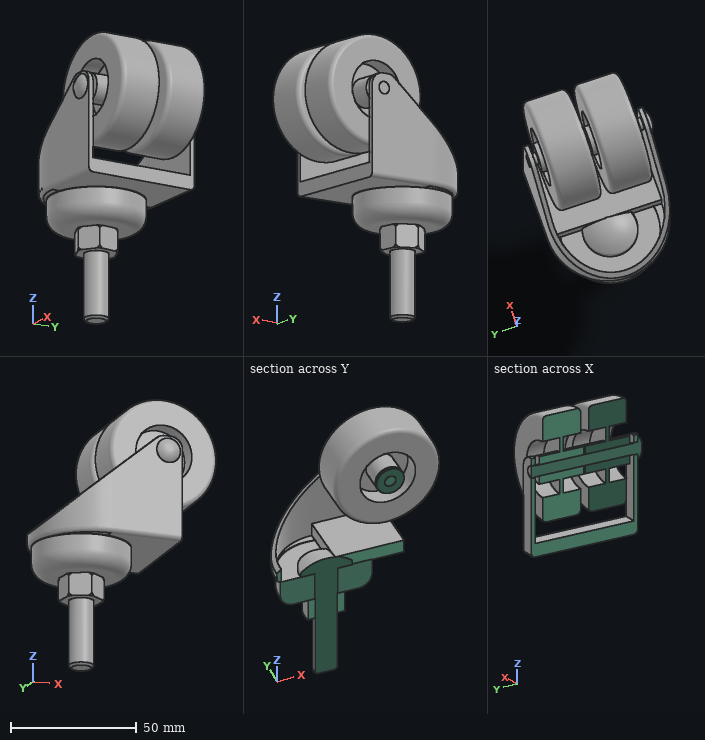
import cadquery as cq
import math


fork_half_width = 25.0
wall = 2.0
fork_bend_x = 3.6
fork_bottom_fillet = 2.0
floor_thickness = 0.2
block_top = 6.0
axle_x = 27.7
axle_z = 36.9
tip_reach = 5.9
tip_fillet = 5.0
slope_angle = 39.9
nose_height = 4.8

cup_radius = 20.0
cup_drop = 12.5
cup_fillet = 6.0

stud_radius = 5.0
stud_end_z = -50.0
stud_chamfer = 1.0
stud_head_radius = 11.1
stud_head_rim = 2.0
stud_head_dome = 4.3
stud_head_fillet = 1.0
nut_height = 9.6
nut_across_flats = 16.0
nut_turn = 36.3
nut_corner_chamfer = 0.5
nut_chamfer_height = 1.1

wheel_radius = 23.0
wheel_width = 18.0
wheel_fillet = 2.0
wheel_gap = 3.5
recess_radius = 12.0
recess_depth = 8.0
hub_radius = 6.0
hub_length = 21.0

axle_radius = 2.5
axle_head_radius = 5.0
axle_head_height = 2.0
axle_head_flat = 1.1

fork_back_x = axle_x + tip_reach
fork_top_z = axle_z + tip_reach
fork_nose_x = fork_bend_x - fork_half_width
inner_half_width = fork_half_width - wall
wheel_center_y = (wheel_gap + wheel_width) / 2
nut_bottom_z = -cup_drop - nut_height
nut_corner_radius = nut_across_flats / math.sqrt(3)


def cylinder_z(radius, bottom, top):
    """Cylinder about the swivel axis."""
    return cq.Workplane("XY").workplane(offset=bottom).circle(radius).extrude(top - bottom)


def u_shape(half_width, bottom, top):
    """Upright U-shaped prism, rounded at the front and open to the back of the fork."""
    return (
        cq.Workplane("XY")
        .workplane(offset=bottom)
        .moveTo(fork_back_x, -half_width)
        .lineTo(fork_bend_x, -half_width)
        .threePointArc((fork_bend_x - half_width, 0), (fork_bend_x, half_width))
        .lineTo(fork_back_x, half_width)
        .close()
        .extrude(top - bottom)
    )


def fork_side_profile():
    """Prism across the fork with the sloping upper edge and the rounded tip."""
    slope_run = (fork_top_z - nose_height) / math.tan(math.radians(slope_angle))
    return (
        cq.Workplane("XZ")
        .moveTo(fork_nose_x, 0)
        .lineTo(fork_back_x, 0)
        .lineTo(fork_back_x, fork_top_z)
        .lineTo(fork_nose_x + slope_run, fork_top_z)
        .lineTo(fork_nose_x, nose_height)
        .close()
        .extrude(fork_half_width, both=True)
        .edges("|Y and >Z")
        .fillet(tip_fillet)
    )


def make_axle():
    """Plain rod through both cheeks, with a domed head on the -Y side."""
    head_base_y = -fork_half_width
    head_tip_y = head_base_y - axle_head_height
    dome_run = axle_head_radius - axle_head_flat
    dome_radius = (dome_run**2 + axle_head_height**2) / (2 * axle_head_height)
    half_sweep = math.asin(dome_run / dome_radius) / 2
    dome_middle = (
        axle_head_flat + dome_radius * math.sin(half_sweep),
        head_tip_y + dome_radius * (1 - math.cos(half_sweep)),
    )
    return (
        cq.Workplane("XY")
        .moveTo(0, head_tip_y)
        .lineTo(axle_head_flat, head_tip_y)
        .threePointArc(dome_middle, (axle_head_radius, head_base_y))
        .lineTo(axle_radius, head_base_y)
        .lineTo(axle_radius, fork_half_width)
        .lineTo(0, fork_half_width)
        .close()
        .revolve(360, (0, 0, 0), (0, 1, 0))
        .translate((axle_x, 0, axle_z))
    )


def make_stud():
    """Stud with a domed head that rests on the cup."""
    rim_z = floor_thickness + stud_head_rim
    dome_top_z = rim_z + stud_head_dome
    dome_radius = (stud_head_radius**2 + stud_head_dome**2) / (2 * stud_head_dome)
    half_sweep = math.asin(stud_head_radius / dome_radius) / 2
    dome_middle = (
        dome_radius * math.sin(half_sweep),
        dome_top_z - dome_radius * (1 - math.cos(half_sweep)),
    )
    head = (
        cq.Workplane("XZ")
        .moveTo(0, floor_thickness)
        .lineTo(stud_head_radius, floor_thickness)
        .lineTo(stud_head_radius, rim_z)
        .threePointArc(dome_middle, (0, dome_top_z))
        .close()
        .revolve(360, (0, 0, 0), (0, 1, 0))
        .edges(cq.selectors.NearestToPointSelector((0, 0, rim_z)))
        .fillet(stud_head_fillet)
    )
    shank = cylinder_z(stud_radius, stud_end_z, floor_thickness).faces("<Z").chamfer(stud_chamfer)
    return head.union(shank)


def make_cup():
    """Round cup let into the fork floor, bored for the stud."""
    cup = cylinder_z(cup_radius, -cup_drop, floor_thickness).faces("<Z").edges().fillet(cup_fillet)
    return cup.cut(cylinder_z(stud_radius, -cup_drop, floor_thickness))


def make_nut():
    """Hexagon nut under the cup, with its corners turned off at both ends."""
    hexagon = (
        cq.Workplane("XY")
        .workplane(offset=nut_bottom_z)
        .polygon(6, 2 * nut_corner_radius)
        .extrude(nut_height)
        .rotate((0, 0, 0), (0, 0, 1), nut_turn)
    )
    turned_blank = (
        cylinder_z(nut_corner_radius, nut_bottom_z, -cup_drop)
        .faces("|Z")
        .chamfer(nut_chamfer_height, nut_corner_chamfer)
    )
    return hexagon.intersect(turned_blank).cut(cylinder_z(stud_radius, nut_bottom_z, -cup_drop))


def make_fork(stud, axle):
    """U-shaped fork with a floor, a raised block and seats for the cup, stud head and axle."""
    fork = u_shape(fork_half_width, 0, fork_top_z)
    fork = fork.faces("<Z").edges("not(>X)").fillet(fork_bottom_fillet)
    fork = fork.intersect(fork_side_profile())

    block_length = fork_back_x - fork_bend_x
    block = (
        cq.Workplane("XY")
        .box(block_length, 2 * inner_half_width, block_top, centered=(False, True, False))
        .translate((fork_bend_x, 0, 0))
    )
    inside = u_shape(inner_half_width, floor_thickness, fork_top_z).cut(block)

    cup_seat = cylinder_z(cup_radius, 0, floor_thickness)
    return fork.cut(inside).cut(cup_seat).cut(stud).cut(axle)


def make_wheel(center_y):
    """Tyre with a recess on each face, leaving a thin web around a longer hub."""
    def disc(radius, length, middle_y):
        start = cq.Workplane("XZ", origin=(axle_x, middle_y + length / 2, axle_z))
        return start.circle(radius).extrude(length)

    wheel = disc(wheel_radius, wheel_width, center_y).edges().fillet(wheel_fillet)
    recess_offset = (wheel_width - recess_depth) / 2
    for side in (-1, 1):
        wheel = wheel.cut(disc(recess_radius, recess_depth, center_y + side * recess_offset))
    hub = disc(hub_radius, hub_length, center_y)
    bore = disc(axle_radius, hub_length, center_y)
    return wheel.union(hub).cut(bore)


axle = make_axle()
stud = make_stud()
cup = make_cup()
nut = make_nut()
fork = make_fork(stud, axle)
wheels = [make_wheel(side * wheel_center_y) for side in (-1, 1)]

result = cq.Compound.makeCompound(
    [fork.val(), cup.val(), stud.val(), nut.val(), axle.val(), *[wheel.val() for wheel in wheels]]
)